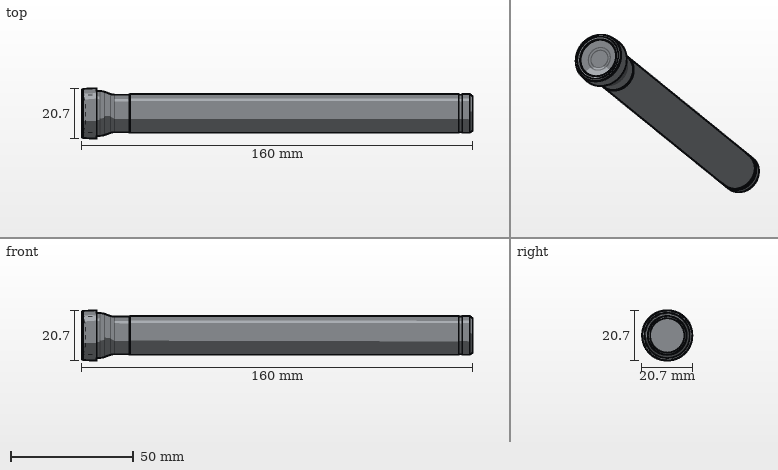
import cadquery as cq
import math

total_length = 160.03
head_radius = 20.69 / 2

nose_radius = 9.0
face_edge_radius = 9.85
face_edge_x = 0.2
rim_radius = 10.08
rim_x = 0.6
ring_back_x = 6.1
bore_radius = 15.5 / 2
bore_mouth_radius = 16.0 / 2

dish_slope = 0.28
dish_cone_inner_radius = 4.85
dish_floor_radius = 3.75
dish_floor_drop = 0.2
seat_step = 0.15

collar_radius = 18.5 / 2
neck_radius = 15.5 / 2
shank_radius = 16.0 / 2
collar_end = 7.4
flare_angle = math.radians(20)
collar_blend = 5.5
neck_blend = 4.5
neck_end = 19.4
shank_start = 19.85

groove_radius = 15.5 / 2
groove_start = 154.3
groove_end = 155.7
end_chamfer_length = 1.4
end_chamfer_depth = 1.0


def turned(profile):
    """Close a half-profile and revolve it about the X axis."""
    return profile.close().revolve(360, (0, 0, 0), (1, 0, 0))


def dish_depth(radius):
    """Axial depth of the conical dish at a given radius."""
    return (nose_radius - radius) * dish_slope


def make_cutting_ring():
    side_mid = (
        (rim_x + ring_back_x) / 2,
        rim_radius + 0.75 * (head_radius - rim_radius),
    )
    return turned(
        cq.Workplane("XY")
        .moveTo(0, nose_radius)
        .lineTo(face_edge_x, face_edge_radius)
        .lineTo(rim_x, rim_radius)
        .threePointArc(side_mid, (ring_back_x, head_radius))
        .lineTo(ring_back_x, bore_radius)
        .lineTo(dish_depth(bore_radius) + seat_step, bore_radius)
        .lineTo(dish_depth(bore_mouth_radius), bore_mouth_radius)
    )


def make_holder():
    sin_half, cos_half = math.sin(flare_angle / 2), math.cos(flare_angle / 2)
    sin_full, cos_full = math.sin(flare_angle), math.cos(flare_angle)

    collar_arc_mid = (collar_end + collar_blend * sin_half, collar_radius - collar_blend * (1 - cos_half))
    flare_start = (collar_end + collar_blend * sin_full, collar_radius - collar_blend * (1 - cos_full))
    flare_end_radius = neck_radius + neck_blend * (1 - cos_full)
    flare_end_x = flare_start[0] + (flare_start[1] - flare_end_radius) / math.tan(flare_angle)
    neck_start = flare_end_x + neck_blend * sin_full
    neck_arc_mid = (neck_start - neck_blend * sin_half, neck_radius + neck_blend * (1 - cos_half))

    dish_cone_end = dish_depth(dish_cone_inner_radius) + seat_step
    dish_floor_x = dish_cone_end + dish_floor_drop
    return turned(
        cq.Workplane("XY")
        .moveTo(dish_floor_x, 0)
        .lineTo(dish_floor_x, dish_floor_radius)
        .lineTo(dish_cone_end, dish_cone_inner_radius)
        .lineTo(dish_depth(bore_radius) + seat_step, bore_radius)
        .lineTo(ring_back_x, bore_radius)
        .lineTo(ring_back_x, collar_radius)
        .lineTo(collar_end, collar_radius)
        .threePointArc(collar_arc_mid, flare_start)
        .lineTo(flare_end_x, flare_end_radius)
        .threePointArc(neck_arc_mid, (neck_start, neck_radius))
        .lineTo(neck_end, neck_radius)
        .lineTo(shank_start, shank_radius)
        .lineTo(groove_start, shank_radius)
        .lineTo(groove_start, groove_radius)
        .lineTo(groove_end, groove_radius)
        .lineTo(groove_end, shank_radius)
        .lineTo(total_length - end_chamfer_length, shank_radius)
        .lineTo(total_length, shank_radius - end_chamfer_depth)
        .lineTo(total_length, 0)
    )


cutting_ring = make_cutting_ring()
holder = make_holder()

result = cq.Compound.makeCompound([cutting_ring.val(), holder.val()])